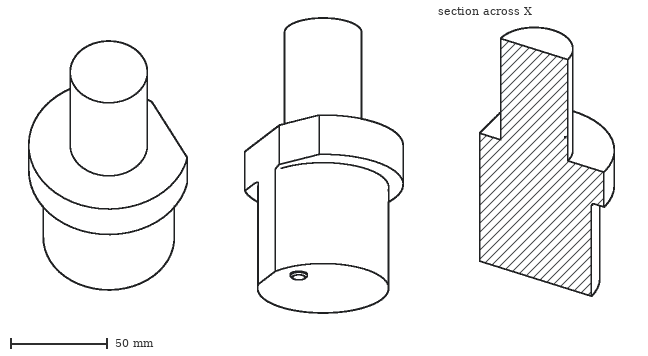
import cadquery as cq
import math

total_height = 144.5
shank_diameter = 40.0
flange_diameter = 83.0
flange_thickness = 22.0
body_diameter = 68.0
body_height = 58.0
neck_fillet = 1.6

back_flat_distance = 32.5
slanted_flat_distance = 35.5
slanted_direction = 120

pin_diameter = 9.0
pin_height = 1.6
pin_chamfer = 1.0
pin_offset = 22.7

shank_height = total_height - pin_height - body_height - flange_thickness


def turned_blank():
    """Stepped body, flange and shank, stacked along Z."""
    body = cq.Workplane("XY").circle(body_diameter / 2).extrude(body_height)
    flange = body.faces(">Z").workplane().circle(flange_diameter / 2).extrude(flange_thickness)
    neck_corner = cq.selectors.RadiusNthSelector(0)
    blank = flange.faces("<Z[1]").edges(neck_corner).fillet(neck_fillet)
    return blank.faces(">Z").workplane().circle(shank_diameter / 2).extrude(shank_height)


def flat_cutter(distance, direction):
    """Block that removes everything beyond a vertical plane facing the given direction."""
    block = cq.Workplane("XY").box(
        flange_diameter, flange_diameter, total_height, centered=(False, True, False)
    )
    return block.translate((distance, 0, 0)).rotate((0, 0, 0), (0, 0, 1), direction)


def locating_pin():
    """Short chamfered pin projecting below the body."""
    angle = math.radians(slanted_direction)
    pin = (
        cq.Workplane("XY")
        .circle(pin_diameter / 2)
        .extrude(-pin_height)
        .faces("<Z")
        .chamfer(pin_chamfer)
    )
    return pin.translate((pin_offset * math.cos(angle), pin_offset * math.sin(angle), 0))


result = (
    turned_blank()
    .cut(flat_cutter(back_flat_distance, 90))
    .cut(flat_cutter(slanted_flat_distance, slanted_direction))
    .union(locating_pin())
)